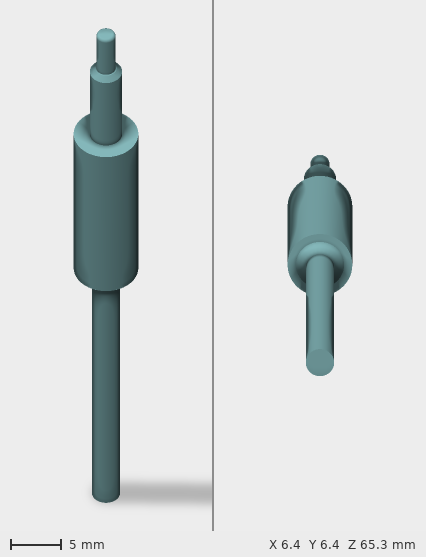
import cadquery as cq

stem_diameter = 2.8
body_diameter = 6.4
shoulder_diameter = 3.2
tip_diameter = 1.9

total_height = 65.3
stem_top = 31.0
body_bottom = 32.0
body_top = 51.05
shoulder_top = 60.5

shoulder_chamfer = 0.5
tip_fillet = 0.3

collar_height = body_bottom - stem_top
collar_top_radius = stem_diameter / 2 + collar_height


def cylinder(diameter, bottom, top):
    """Solid cylinder about the Z axis between two heights."""
    return cq.Workplane("XY").workplane(offset=bottom).circle(diameter / 2).extrude(top - bottom)


def collar():
    """Cone joining the stem to the body."""
    return (
        cq.Workplane("XZ")
        .moveTo(0, stem_top)
        .lineTo(stem_diameter / 2, stem_top)
        .lineTo(collar_top_radius, body_bottom)
        .lineTo(0, body_bottom)
        .close()
        .revolve(360, (0, 0), (0, 1))
    )


stem = cylinder(stem_diameter, 0, stem_top)
body = cylinder(body_diameter, body_bottom, body_top)
shoulder = cylinder(shoulder_diameter, body_top, shoulder_top).faces(">Z").chamfer(shoulder_chamfer)
tip = cylinder(tip_diameter, shoulder_top, total_height).faces(">Z").edges().fillet(tip_fillet)

result = stem.union(collar()).union(body).union(shoulder).union(tip)